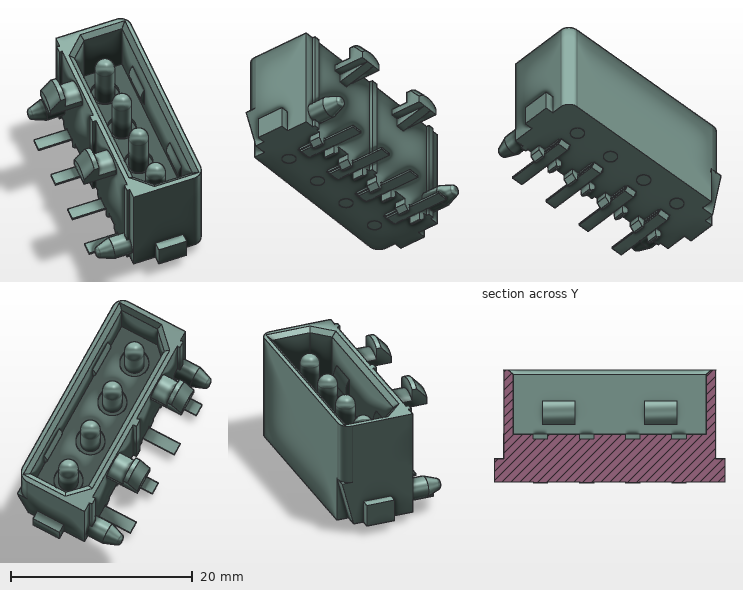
import cadquery as cq
import math


BODY_LENGTH = 23.37
BODY_DEPTH = 8.4
BODY_HEIGHT = 12.35
CORNER_RADIUS = 1.25
LEFT_X = -BODY_LENGTH / 2

FOOT_HEIGHT = 5.28
RELIEF_DEPTH = 1.37
RELIEF_LENGTH = 1.52

RIM_LENGTH = 22.3
RIM_FRONT_WALL = 0.5
RIM_BACK_WALL = 0.45
RIM_BEVEL = 2.18
LEAD_IN_WIDTH = 0.55
LEAD_IN_HEIGHT = 0.5
CAVITY_FLOOR_Z = FOOT_HEIGHT

PITCH = 5.08
CONTACT_XS = [PITCH * step for step in (-1.5, -0.5, 0.5, 1.5)]
CONTACT_Y = BODY_DEPTH / 2
PIN_RADIUS = 1.1
PIN_TOP_Z = 10.87
PIN_RECESS_RADIUS = 1.6
PIN_RECESS_DEPTH = 0.5

TAIL_WIDTH = 1.4
TAIL_THICKNESS = 0.25
TAIL_TOP_Z = -0.28
TAIL_BOTTOM_Z = TAIL_TOP_Z - TAIL_THICKNESS
TAIL_TIP_Y = -3.9
TAIL_BACK_Y = 3.75
TAIL_BEND = 0.45

PAD_RADIUS = 0.8
PAD_THICKNESS = 0.064
PAD_Y = 5.6

TOOTH_DEPTH = 1.32
TOOTH_OUTER_X = 1.73
TOOTH_TIP_OUTER_X = 1.17
TOOTH_TIP_INNER_X = 0.95
TOOTH_INNER_X = 0.85
TOOTH_SHOULDER_Z = -0.7
TOOTH_TIP_Z = -1.27

EAR_LENGTH = 1.02
EAR_FRONT_Y = 2.6
EAR_DEPTH = 3.3
EAR_HEIGHT = 2.6

SIDE_RIB_WIDTH = 0.75
SIDE_RIB_DEPTH = 0.33
MIDDLE_RIB_WIDTH = 0.85
MIDDLE_RIB_DEPTH = 0.4

PEG_X = 2 * PITCH
PEG_Z = 2.0
PEG_RADIUS = 1.2
PEG_CYLINDER_LENGTH = 2.05
PEG_CONE_END = 3.53
PEG_CONE_END_RADIUS = 0.65
PEG_LENGTH = 3.84
PEG_TIP_RADIUS = 0.2

HOOK_X = PITCH
HOOK_WIDTH = 3.0
HOOK_BOTTOM_Z = 10.2
HOOK_CROWN = 0.69
ARM_SIDE_Z = 10.95
ARM_LENGTH = 2.05
HEAD_SIDE_Z = 12.32
HEAD_FLAT_END = 2.62
HEAD_NOSE_SIDE_Z = 10.97
HOOK_LENGTH = 3.84
GUSSET_WIDTH = 1.12
GUSSET_BOTTOM_Z = 9.2

BUMP_X = 5.61
BUMP_LENGTH = 3.55
BUMP_HEIGHT = 2.62
BUMP_DEPTH = 0.4
BUMP_Z = 7.65

OVERLAP = 0.13


def box(x_min, x_max, y_min, y_max, z_min, z_max):
    size = (x_max - x_min, y_max - y_min, z_max - z_min)
    return cq.Workplane("XY").box(*size, centered=False).translate((x_min, y_min, z_min))


def side_prism(points, x_center, width):
    """Extrude a (y, z) outline along X, centred on x_center."""
    outline = cq.Workplane("YZ", origin=(x_center, 0, 0)).polyline(points).close()
    return outline.extrude(width / 2, both=True)


def housing():
    body = box(LEFT_X, -LEFT_X, 0, BODY_DEPTH, 0, BODY_HEIGHT).edges("|Z and >Y").fillet(CORNER_RADIUS)
    foot = box(LEFT_X, LEFT_X + CORNER_RADIUS, BODY_DEPTH - CORNER_RADIUS, BODY_DEPTH, 0, FOOT_HEIGHT)
    relief_outline = [(BODY_DEPTH, FOOT_HEIGHT), (BODY_DEPTH, 0), (BODY_DEPTH - RELIEF_DEPTH, 0)]
    relief = side_prism(relief_outline, LEFT_X + RELIEF_LENGTH / 2, RELIEF_LENGTH)
    return body.union(foot).cut(relief)


def cavity():
    half = RIM_LENGTH / 2
    front = RIM_FRONT_WALL
    back = BODY_DEPTH - RIM_BACK_WALL
    rim = cq.Workplane("XY", origin=(0, 0, BODY_HEIGHT)).polyline([
        (-half, back),
        (-half, front + RIM_BEVEL),
        (-half + RIM_BEVEL, front),
        (half - RIM_BEVEL, front),
        (half, front + RIM_BEVEL),
        (half, back),
    ]).close()
    taper = math.degrees(math.atan2(LEAD_IN_WIDTH, LEAD_IN_HEIGHT))
    lead_in = rim.extrude(-LEAD_IN_HEIGHT, taper=taper)
    well_depth = BODY_HEIGHT - LEAD_IN_HEIGHT - CAVITY_FLOOR_Z
    well = lead_in.faces("<Z").wires().toPending().extrude(-well_depth, combine=False)
    return well.union(lead_in)


def wall_bumps():
    """Shallow cylinder segments on the front and back cavity walls."""
    radius = (BUMP_HEIGHT ** 2 / 4 + BUMP_DEPTH ** 2) / (2 * BUMP_DEPTH)
    front_wall = RIM_FRONT_WALL + LEAD_IN_WIDTH
    back_wall = BODY_DEPTH - RIM_BACK_WALL - LEAD_IN_WIDTH
    bumps = cq.Workplane("XY")
    for x in (-BUMP_X, BUMP_X):
        for wall, inward in ((front_wall, 1), (back_wall, -1)):
            center_y = wall + inward * (BUMP_DEPTH - radius)
            cylinder = (
                cq.Workplane("YZ", origin=(x, 0, 0))
                .center(center_y, BUMP_Z)
                .circle(radius)
                .extrude(BUMP_LENGTH / 2, both=True)
            )
            y_min, y_max = sorted((wall - inward * OVERLAP, wall + inward * BUMP_DEPTH))
            z_min = BUMP_Z - BUMP_HEIGHT / 2
            slab = box(x - BUMP_LENGTH, x + BUMP_LENGTH, y_min, y_max, z_min, z_min + BUMP_HEIGHT)
            bumps = bumps.union(cylinder.intersect(slab))
    return bumps


def pin_recesses():
    floor = cq.Workplane("XY", origin=(0, 0, CAVITY_FLOOR_Z))
    centers = [(x, CONTACT_Y) for x in CONTACT_XS]
    return floor.pushPoints(centers).circle(PIN_RECESS_RADIUS).extrude(-PIN_RECESS_DEPTH)


def contact(x):
    """Round-ended pin, bent tail and pad of one contact."""
    pin_bottom = CAVITY_FLOOR_Z - PIN_RECESS_DEPTH - OVERLAP
    pin = (
        cq.Workplane("XY", origin=(x, CONTACT_Y, pin_bottom))
        .circle(PIN_RADIUS)
        .extrude(PIN_TOP_Z - PIN_RADIUS - pin_bottom)
    )
    dome = cq.Workplane("XY", origin=(x, CONTACT_Y, PIN_TOP_Z - PIN_RADIUS)).sphere(PIN_RADIUS)
    tail = side_prism([
        (TAIL_TIP_Y, TAIL_TOP_Z),
        (TAIL_TIP_Y, TAIL_BOTTOM_Z),
        (TAIL_BACK_Y - TAIL_BEND, TAIL_BOTTOM_Z),
        (TAIL_BACK_Y, TAIL_BOTTOM_Z + TAIL_BEND),
        (TAIL_BACK_Y, OVERLAP),
        (TAIL_BACK_Y - TAIL_THICKNESS, OVERLAP),
        (TAIL_BACK_Y - TAIL_THICKNESS, TAIL_TOP_Z),
    ], x, TAIL_WIDTH)
    pad_start = cq.Workplane("XY", origin=(x, PAD_Y, -PAD_THICKNESS))
    pad = pad_start.circle(PAD_RADIUS).extrude(PAD_THICKNESS + OVERLAP)
    return pin.union(dome).union(tail).union(pad)


def tail_guide(x):
    """Pair of pointed teeth and the web above the tail, which runs back to the tail's bend."""
    right_half = [
        (TOOTH_INNER_X, TAIL_TOP_Z),
        (TOOTH_TIP_INNER_X, TOOTH_TIP_Z),
        (TOOTH_TIP_OUTER_X, TOOTH_TIP_Z),
        (TOOTH_OUTER_X, TOOTH_SHOULDER_Z),
        (TOOTH_OUTER_X, OVERLAP),
    ]
    left_half = [(-offset, z) for offset, z in reversed(right_half)]
    outline = cq.Workplane("XZ", origin=(x, 0, 0)).polyline(right_half + left_half).close()
    teeth = outline.extrude(-TOOTH_DEPTH)
    web = box(x - TOOTH_INNER_X, x + TOOTH_INNER_X, 0, TAIL_BACK_Y - TAIL_THICKNESS, TAIL_TOP_Z, OVERLAP)
    return teeth.union(web)


def ears():
    reach = BODY_LENGTH / 2 + EAR_LENGTH
    return box(-reach, reach, EAR_FRONT_Y, EAR_FRONT_Y + EAR_DEPTH, 0, EAR_HEIGHT)


def rib(x, width, depth):
    return box(x - width / 2, x + width / 2, -depth, OVERLAP, 0, BODY_HEIGHT)


def peg(x):
    arc_middle = (
        PEG_TIP_RADIUS + (PEG_CONE_END_RADIUS - PEG_TIP_RADIUS) * math.sqrt(0.5),
        -PEG_CONE_END - (PEG_LENGTH - PEG_CONE_END) * math.sqrt(0.5),
    )
    half_section = (
        cq.Workplane("XY")
        .moveTo(0, OVERLAP)
        .lineTo(PEG_RADIUS, OVERLAP)
        .lineTo(PEG_RADIUS, -PEG_CYLINDER_LENGTH)
        .lineTo(PEG_CONE_END_RADIUS, -PEG_CONE_END)
        .threePointArc(arc_middle, (PEG_TIP_RADIUS, -PEG_LENGTH))
        .lineTo(0, -PEG_LENGTH)
        .close()
    )
    return half_section.revolve(360, (0, 0, 0), (0, 1, 0)).translate((x, 0, PEG_Z))


def crowned_section(workplane, side_z):
    """Flat-bottomed hook section with an arched top."""
    half = HOOK_WIDTH / 2
    return (
        workplane.moveTo(-half, HOOK_BOTTOM_Z)
        .lineTo(half, HOOK_BOTTOM_Z)
        .lineTo(half, side_z)
        .threePointArc((0, side_z + HOOK_CROWN), (-half, side_z))
        .close()
    )


def hook(x):
    arm_start = cq.Workplane("XZ", origin=(x, OVERLAP, 0))
    arm = crowned_section(arm_start, ARM_SIDE_Z).extrude(ARM_LENGTH + OVERLAP)
    head_start = cq.Workplane("XZ", origin=(x, -ARM_LENGTH, 0))
    head = crowned_section(head_start, HEAD_SIDE_Z).extrude(HEAD_FLAT_END - ARM_LENGTH)
    nose_start = crowned_section(cq.Workplane("XZ", origin=(x, -HEAD_FLAT_END, 0)), HEAD_SIDE_Z)
    nose_end = nose_start.workplane(offset=HOOK_LENGTH - HEAD_FLAT_END)
    nose = crowned_section(nose_end, HEAD_NOSE_SIDE_Z).loft(ruled=True)
    gusset_outline = [
        (OVERLAP, HOOK_BOTTOM_Z),
        (-HOOK_LENGTH, HOOK_BOTTOM_Z),
        (0, GUSSET_BOTTOM_Z),
        (OVERLAP, GUSSET_BOTTOM_Z),
    ]
    gusset = side_prism(gusset_outline, x, GUSSET_WIDTH)
    return arm.union(head).union(nose).union(gusset)


part = housing().union(ears())
part = part.cut(cavity()).cut(pin_recesses()).union(wall_bumps())
part = part.union(rib(0, MIDDLE_RIB_WIDTH, MIDDLE_RIB_DEPTH))
for contact_x in CONTACT_XS:
    part = part.union(tail_guide(contact_x)).union(contact(contact_x))
for side in (-1, 1):
    part = part.union(rib(side * PEG_X, SIDE_RIB_WIDTH, SIDE_RIB_DEPTH))
    part = part.union(peg(side * PEG_X)).union(hook(side * HOOK_X))

result = part